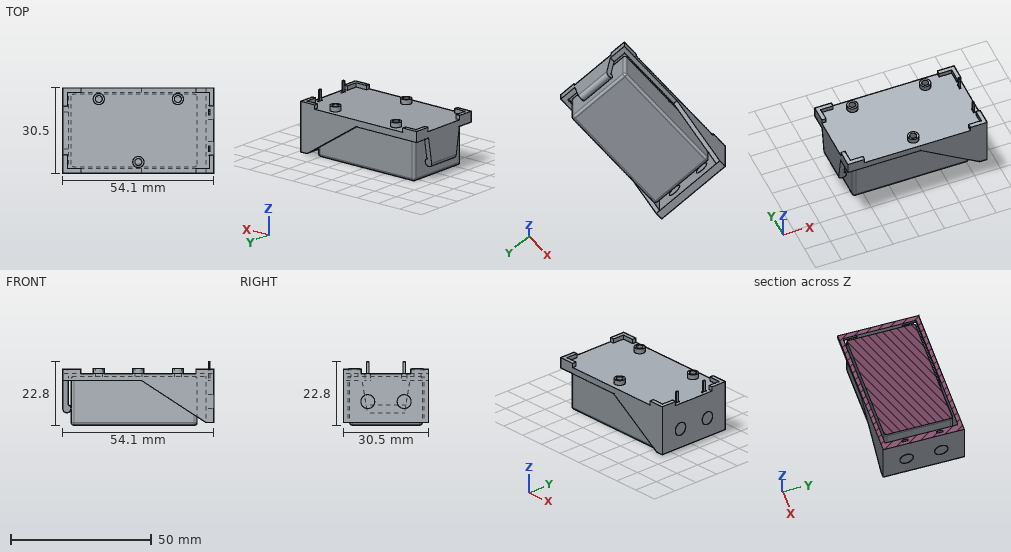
import cadquery as cq


holder_length = 54.0
holder_width = 30.5
deck_bottom = 16.0
deck_top = 18.5
side_wall = 1.7
end_wall = 2.9
skirt_bottom = 1.05
skirt_slope_start = 28.2
end_wall_inner = holder_length - end_wall

rim_length = 6.5
rim_thickness = 1.6
rim_height = 1.6

boss_diameter = 4.0
boss_hole_diameter = 2.5
boss_height = 1.85
boss_offset_x = 14.1
boss_offset_y = 11.25
boss_points = [(-boss_offset_x, boss_offset_y), (boss_offset_x, boss_offset_y), (0, -boss_offset_y)]

clip_thickness = 2.0
clip_bead_diameter = 3.0
clip_bottom = 4.5
clip_half_width_top = 8.55
clip_half_width_bottom = 6.6
bead_radius = clip_bead_diameter / 2
bead_center_z = clip_bottom + bead_radius

battery_length = 45.0
battery_width = 25.95
battery_height = 17.5
battery_start = clip_bead_diameter
battery_rounding = 1.05

contact_offset_y = 6.5
pin_thickness = 0.5
pin_center_x = 52.25
pin_width = 1.0
pin_top = 22.8
pin_tip_chamfer = 0.15
pin_foot_width = 2.0
pin_foot_depth = deck_top - deck_bottom
stud_diameter = 5.0
stud_center_z = 8.5
stud_end = 54.1


def make_shell():
    """Deck, sloping side skirts and end wall around an open-bottomed battery space."""
    outline = [
        (0, deck_top),
        (0, deck_bottom),
        (skirt_slope_start, deck_bottom),
        (end_wall_inner, skirt_bottom),
        (holder_length, skirt_bottom),
        (holder_length, deck_top),
    ]
    block = cq.Workplane("XZ").polyline(outline).close().extrude(holder_width / 2, both=True)
    space = cq.Workplane("XY").box(
        end_wall_inner - clip_thickness,
        holder_width - 2 * side_wall,
        battery_height,
        centered=(False, True, False),
    )
    return block.cut(space.translate((clip_thickness, 0, 0)))


def make_rims():
    """Four L-shaped rims, left at the corners of a rectangular frame."""
    frame = (
        cq.Workplane("XY", origin=(holder_length / 2, 0, deck_top))
        .rect(holder_length, holder_width)
        .rect(holder_length - 2 * rim_thickness, holder_width - 2 * rim_thickness)
        .extrude(rim_height)
    )
    gaps = (
        cq.Workplane("XY", origin=(holder_length / 2, 0, deck_top))
        .rect(holder_length - 2 * rim_length, holder_width)
        .extrude(rim_height)
        .union(
            cq.Workplane("XY", origin=(holder_length / 2, 0, deck_top))
            .rect(holder_length, holder_width - 2 * rim_length)
            .extrude(rim_height)
        )
    )
    return frame.cut(gaps)


def make_clip():
    """Tapered spring tongue hanging from the deck, ending in the bead."""
    tongue = cq.Workplane("XY").box(
        clip_thickness,
        2 * clip_half_width_top,
        deck_bottom - bead_center_z,
        centered=(False, True, False),
    ).translate((0, 0, bead_center_z))
    bead = (
        cq.Workplane("XZ", origin=(bead_radius, 0, bead_center_z))
        .circle(bead_radius)
        .extrude(clip_half_width_top, both=True)
    )
    taper = (
        cq.Workplane("YZ")
        .moveTo(-clip_half_width_top, deck_bottom)
        .lineTo(-clip_half_width_bottom, clip_bottom)
        .lineTo(clip_half_width_bottom, clip_bottom)
        .lineTo(clip_half_width_top, deck_bottom)
        .close()
        .extrude(clip_bead_diameter)
    )
    return tongue.union(bead).intersect(taper)


def boss_cylinders(diameter, bottom, top):
    """Upright cylinders at the three boss positions."""
    return (
        cq.Workplane("XY", origin=(holder_length / 2, 0, bottom))
        .pushPoints(boss_points)
        .circle(diameter / 2)
        .extrude(top - bottom)
    )


def make_battery():
    """Rounded block lying lengthwise in the holder against the deck."""
    return (
        cq.Workplane("XY")
        .box(battery_length, battery_width, battery_height, centered=(False, True, False))
        .edges()
        .fillet(battery_rounding)
        .translate((battery_start, 0, 0))
    )


def make_pin(center_y):
    """Flat pin on a wider foot that is flush with the deck."""
    foot = (
        cq.Workplane("XY", origin=(pin_center_x, center_y, deck_top))
        .rect(pin_thickness, pin_foot_width)
        .extrude(-pin_foot_depth)
    )
    blade = (
        cq.Workplane("XY", origin=(pin_center_x, center_y, deck_top))
        .rect(pin_thickness, pin_width)
        .extrude(pin_top - deck_top)
        .faces(">Z")
        .edges("|X")
        .chamfer(pin_tip_chamfer)
    )
    return foot.union(blade)


def make_stud(center_y):
    """Round contact through the end wall, standing slightly proud outside."""
    return (
        cq.Workplane("YZ", origin=(end_wall_inner, center_y, stud_center_z))
        .circle(stud_diameter / 2)
        .extrude(stud_end - end_wall_inner)
    )


battery = make_battery()

pins = []
studs = []
for center_y in (-contact_offset_y, contact_offset_y):
    pins.append(make_pin(center_y))
    studs.append(make_stud(center_y))

boss_top = deck_top + boss_height
holder = make_shell().union(make_rims()).union(make_clip())
holder = holder.union(boss_cylinders(boss_diameter, deck_top, boss_top))
holder = holder.cut(boss_cylinders(boss_hole_diameter, deck_bottom, boss_top))
for contact in pins + studs:
    holder = holder.cut(contact)

contacts = [contact.val() for contact in pins + studs]
result = cq.Compound.makeCompound([holder.val(), battery.val(), *contacts])